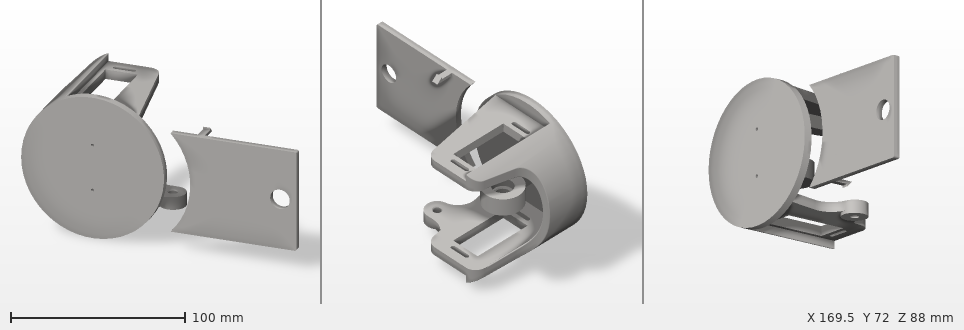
import cadquery as cq
import math

base_radius = 44.0
base_thickness = 5.1
housing_depth = 72.0
shell_wall = 5.5
edge_rounding = 0.5
shell_inner_radius = base_radius - shell_wall
shell_edge_x = -18.0
plate_outer_z = 35.0
plate_thickness = 6.0
plate_left_x = -26.0
plate_inner_z = plate_outer_z - plate_thickness

left_notch_y = 30.2
left_low_x = -30.0
left_top_x = -25.0
left_notch_radius = 14.0
right_low_x = 26.6
right_top_x = 14.2
top_corner_radius = 8.0

servo_x = -5.3
window_width = 20.0
window_bottom_y = 20.0
window_height = 40.0
slot_length = 14.0
slot_width = 2.9
slot_heights = (15.6, 64.5)
base_hole_diameter = 2.0
base_hole_offset = 14.0

tab_y = 30.0
tab_radius = 13.14
tab_top_z = 0.8
tab_thickness = 11.9
bore_diameter = 9.5
counterbore_diameter = 13.2
counterbore_depth = 6.0
bore_chamfer = 0.6

ear_x = 31.4
ear_y = 47.0
ear_radius = 8.0
ear_boss_height = 2.0
ear_hole_diameter = 5.1
ear_hole_chamfer = 0.5
ear_lower_fillet = 12.0
ear_upper_fillet = 14.4
ear_upper_sweep = math.radians(40)
ear_upper_flat_x = 26.5

overall_length = 169.5
cover_left_x = 48.0
cover_right_x = overall_length - base_radius
cover_center_z = -1.5
cover_height = 61.7
cover_thickness = 4.0
cover_arc_x = 60.2
cover_corner_radius = 1.0
cover_hole_x = 115.5
cover_hole_diameter = 12.0
clip_x = 65.5
clip_width = 4.2
clip_thickness = 2.0
clip_barb_y = 12.2
clip_tip_y = 16.0
clip_barb_reach = 1.5

on_surface_tolerance = 0.02


def along_y(y):
    """Workplane at depth y, facing +Y, with local coordinates (-X, Z)."""
    return cq.Workplane("XZ", origin=(0, y, 0)).transformed(rotate=(0, 180, 0))


def at_height(z):
    """Workplane parallel to XY at height z."""
    return cq.Workplane("XY", origin=(0, 0, z))


def right_edge_x(y):
    """X of the slanted right edge of the servo plates at depth y."""
    fraction = (y - base_thickness) / (housing_depth - base_thickness)
    return right_low_x + fraction * (right_top_x - right_low_x)


def side_profile():
    """Prism through the full height that bounds the shell and the servo plates."""
    outline = (
        at_height(-base_radius)
        .moveTo(-2 * base_radius, 0)
        .lineTo(right_low_x, 0)
        .lineTo(right_low_x, base_thickness)
        .lineTo(right_top_x, housing_depth)
        .lineTo(left_top_x, housing_depth)
        .lineTo(left_low_x, left_notch_y)
        .lineTo(-2 * base_radius, left_notch_y)
        .close()
        .extrude(2 * base_radius)
    )
    top_corners = [(left_top_x, housing_depth, 0), (right_top_x, housing_depth, 0)]
    for corner in top_corners:
        outline = outline.edges(cq.NearestToPointSelector(corner)).fillet(top_corner_radius)
    notch_corner = cq.NearestToPointSelector((left_low_x, left_notch_y, 0))
    return outline.edges(notch_corner).fillet(left_notch_radius)


def is_rounded_edge(edge):
    """True for both rims of the notch and for the shell's outer lengthwise edges."""
    start, middle, end = (edge.positionAt(fraction) for fraction in (0, 0.5, 1))
    if middle.y < base_thickness:
        return False

    def lies_on(radius):
        return all(
            abs(math.hypot(point.x, point.z) - radius) < on_surface_tolerance
            for point in (start, middle, end)
        )

    same_height = abs(start.z - end.z) < on_surface_tolerance
    runs_lengthwise = same_height and abs(start.y - end.y) > on_surface_tolerance
    return lies_on(base_radius) or (lies_on(shell_inner_radius) and not runs_lengthwise)


def shell():
    """Left part of a tube, cut to the side outline, with rounded free edges."""
    ring = along_y(0).circle(base_radius).circle(shell_inner_radius).extrude(housing_depth)
    left_half = cq.Workplane("XY").box(
        base_radius + shell_edge_x, housing_depth, 2 * base_radius, centered=(False, False, True)
    ).translate((-base_radius, 0, 0))
    walls = ring.intersect(left_half).intersect(side_profile())
    return walls.edges().filter(is_rounded_edge).fillet(edge_rounding)


def servo_plates():
    """Upper and lower flat plates, before they are cut to the side outline."""
    plates = cq.Workplane("XY").box(
        right_low_x - plate_left_x, housing_depth, 2 * plate_outer_z, centered=(False, False, True)
    )
    gap = cq.Workplane("XY").box(
        right_low_x - plate_left_x, housing_depth, 2 * plate_inner_z, centered=(False, False, True)
    )
    return plates.cut(gap).translate((plate_left_x, 0, 0))


def servo_openings():
    """Window and screw slots that pass through both plates."""
    window = at_height(-base_radius).center(servo_x, window_bottom_y + window_height / 2)
    cutter = window.rect(window_width, window_height).extrude(2 * base_radius)
    slots = (
        at_height(-base_radius)
        .pushPoints([(servo_x, y) for y in slot_heights])
        .slot2D(slot_length, slot_width)
        .extrude(2 * base_radius)
    )
    return cutter.union(slots)


def bearing_tab():
    """Round tab on a leg from the base, with a chamfered counterbored hole."""
    tab_bottom_z = tab_top_z - tab_thickness
    disc = at_height(tab_bottom_z).center(servo_x, tab_y).circle(tab_radius).extrude(tab_thickness)
    leg = cq.Workplane("XY").box(tab_radius, tab_y, tab_thickness, centered=False)
    leg = leg.translate((servo_x, 0, tab_bottom_z))
    tab = disc.union(leg)

    counterbore_z = tab_top_z - counterbore_depth
    bore_profile = [
        (0, tab_bottom_z),
        (bore_diameter / 2, tab_bottom_z),
        (bore_diameter / 2, counterbore_z - bore_chamfer),
        (bore_diameter / 2 + bore_chamfer, counterbore_z),
        (counterbore_diameter / 2, counterbore_z),
        (counterbore_diameter / 2, tab_top_z - bore_chamfer),
        (counterbore_diameter / 2 + bore_chamfer, tab_top_z),
        (0, tab_top_z),
    ]
    bore = cq.Workplane("XZ").polyline(bore_profile).close().revolve(360, (0, 0), (0, 1))
    return tab.cut(bore.translate((servo_x, tab_y, 0)))


def ear():
    """Arm that widens into the lower plate, with a round boss under its end."""
    slant = math.atan2(right_low_x - right_top_x, housing_depth - base_thickness)
    reach = ear_radius + ear_lower_fillet
    edge_gap = (ear_x - right_edge_x(ear_y)) * math.cos(slant)
    drop_angle = math.asin((ear_lower_fillet - edge_gap) / reach) + slant
    fillet_x = ear_x + reach * math.sin(drop_angle)
    fillet_y = ear_y - reach * math.cos(drop_angle)

    def on_lower_fillet(angle):
        return (
            fillet_x + ear_lower_fillet * math.cos(angle),
            fillet_y + ear_lower_fillet * math.sin(angle),
        )

    ear_top_y = ear_y + ear_radius

    def on_upper_fillet(angle):
        return (
            ear_upper_flat_x - ear_upper_fillet * math.sin(angle),
            ear_top_y + ear_upper_fillet * (1 - math.cos(angle)),
        )

    circle_touch = math.pi / 2 + drop_angle
    edge_touch = math.pi + slant
    upper_end = on_upper_fillet(ear_upper_sweep)
    lower_end = on_lower_fillet(edge_touch)
    arm = (
        at_height(-plate_outer_z)
        .moveTo(ear_x, ear_top_y)
        .lineTo(ear_upper_flat_x, ear_top_y)
        .threePointArc(on_upper_fillet(ear_upper_sweep / 2), upper_end)
        .lineTo(servo_x, upper_end[1])
        .lineTo(servo_x, lower_end[1])
        .lineTo(*lower_end)
        .threePointArc(
            on_lower_fillet((circle_touch + edge_touch) / 2), on_lower_fillet(circle_touch)
        )
        .threePointArc((ear_x + ear_radius, ear_y), (ear_x, ear_top_y))
        .close()
        .extrude(plate_thickness)
    )
    boss_z = -plate_outer_z - ear_boss_height
    boss = at_height(boss_z).center(ear_x, ear_y).circle(ear_radius)
    return arm.union(boss.extrude(plate_thickness + ear_boss_height))


def ear_hole():
    """Through hole of the ear, chamfered at its upper end."""
    bottom_z = -plate_outer_z - ear_boss_height
    radius = ear_hole_diameter / 2
    profile = [
        (0, bottom_z),
        (radius, bottom_z),
        (radius, -plate_inner_z - ear_hole_chamfer),
        (radius + ear_hole_chamfer, -plate_inner_z),
        (0, -plate_inner_z),
    ]
    hole = cq.Workplane("XZ").polyline(profile).close().revolve(360, (0, 0), (0, 1))
    return hole.translate((ear_x, ear_y, 0))


def make_housing():
    base = along_y(0).circle(base_radius).extrude(base_thickness)
    base_holes = (
        along_y(0)
        .pushPoints([(0, base_hole_offset), (0, -base_hole_offset)])
        .circle(base_hole_diameter / 2)
        .extrude(base_thickness)
    )
    walls = shell().union(servo_plates().intersect(side_profile()))
    walls = walls.union(ear()).cut(servo_openings()).cut(ear_hole())
    return base.union(walls).union(bearing_tab()).cut(base_holes)


def clip(side):
    """Snap clip at the top (side = 1) or bottom (side = -1) edge of the cover."""
    outer_z = cover_height / 2
    profile = [
        (0, outer_z - clip_thickness),
        (0, outer_z),
        (clip_barb_y, outer_z),
        (clip_barb_y, outer_z + clip_barb_reach),
        (clip_tip_y, outer_z - clip_thickness),
    ]
    points = [(y, cover_center_z + side * z) for y, z in profile]
    bar = cq.Workplane("YZ").polyline(points).close().extrude(clip_width)
    return bar.translate((clip_x - clip_width / 2, 0, 0))


def make_cover():
    half_height = cover_height / 2
    plate = (
        cq.Workplane("XZ")
        .moveTo(cover_left_x, half_height)
        .lineTo(cover_right_x, half_height)
        .lineTo(cover_right_x, -half_height)
        .lineTo(cover_left_x, -half_height)
        .threePointArc((cover_arc_x, 0), (cover_left_x, half_height))
        .close()
        .extrude(-cover_thickness)
        .edges("|Y and >X")
        .fillet(cover_corner_radius)
    )
    hole = cq.Workplane("XZ").center(cover_hole_x, 0).circle(cover_hole_diameter / 2)
    plate = plate.cut(hole.extrude(-cover_thickness)).translate((0, 0, cover_center_z))
    for side in (1, -1):
        plate = plate.union(clip(side))
    return plate


housing = make_housing()
cover = make_cover()
result = cq.Compound.makeCompound([housing.val(), cover.val()])